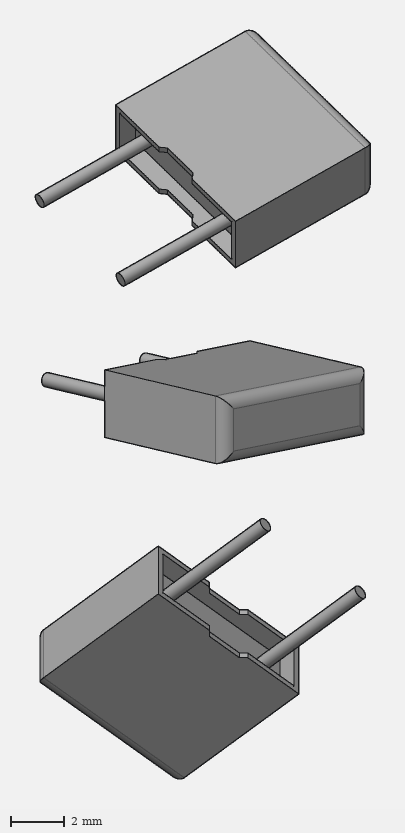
import cadquery as cq


overall_length = 11.1
housing_width = 7.4
housing_height = 2.6
housing_length = 6.6
wall = 0.25
back_edge_radius = 0.49

notch_width = 2.02
notch_depth = 0.22

fill_recess = 0.75

lead_diameter = 0.55
lead_pitch = 5.0

cavity_width = housing_width - 2 * wall
cavity_height = housing_height - 2 * wall
cavity_length = housing_length - wall
lead_tip_y = housing_length - overall_length


def block(width, height, start_y, end_y):
    """Box centred on X and Z that runs from start_y to end_y."""
    length = end_y - start_y
    return cq.Workplane("XY").box(width, length, height).translate((0, start_y + length / 2, 0))


def make_notch_cutter():
    """Trapezoid with 45 degree flanks, cutting through the full housing height."""
    half_mouth = notch_width / 2
    half_floor = half_mouth - notch_depth
    outline = [
        (-half_mouth, 0),
        (half_mouth, 0),
        (half_floor, notch_depth),
        (-half_floor, notch_depth),
    ]
    return cq.Workplane("XY").polyline(outline).close().extrude(housing_height / 2, both=True)


def make_housing():
    """Box with rounded back edges, hollowed from the rim and notched above and below."""
    shell = block(housing_width, housing_height, 0, housing_length)
    shell = shell.faces(">Y").edges().fillet(back_edge_radius)
    shell = shell.cut(block(cavity_width, cavity_height, 0, cavity_length))
    return shell.cut(make_notch_cutter()).solids()


def make_fill():
    """Potting block that fills the cavity behind the recess."""
    return block(cavity_width, cavity_height, fill_recess, cavity_length)


def make_lead(x):
    """Round lead standing on the fill face and pointing toward -Y."""
    lead = cq.Workplane("XZ", origin=(x, fill_recess, 0)).circle(lead_diameter / 2)
    return lead.extrude(fill_recess - lead_tip_y)


housing = make_housing()
fill = make_fill()
leads = [make_lead(side * lead_pitch / 2) for side in (-1, 1)]

result = cq.Compound.makeCompound([housing.val(), fill.val(), *[lead.val() for lead in leads]])